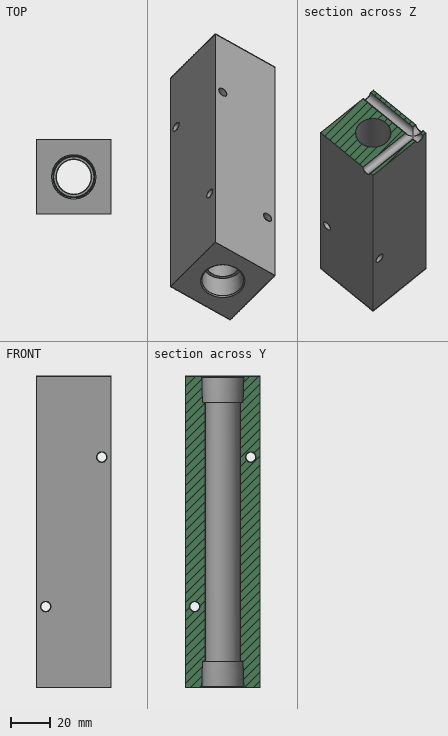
import cadquery as cq

block_side = 38.1
block_height = 158.8

bore_diameter = 17.8
port_diameter = 21.3
port_taper = 1 / 16
port_depth = 13.3
port_chamfer = 0.6

cross_hole_diameter = 5.1
cross_hole_offset = 14.3
cross_hole_spacing = 76.2


def make_block():
    return cq.Workplane("XY").box(block_side, block_side, block_height, centered=(True, True, False))


def make_passage():
    """Revolved cutter for the bore and both end ports."""
    bore_radius = bore_diameter / 2
    port_radius = port_diameter / 2
    mouth_radius = port_radius + port_chamfer
    floor_radius = port_radius - port_taper * (port_depth - port_chamfer) / 2
    lower_half = [
        (mouth_radius, 0),
        (port_radius, port_chamfer),
        (floor_radius, port_depth),
        (bore_radius, port_depth),
    ]
    upper_half = [(radius, block_height - z) for radius, z in reversed(lower_half)]
    profile = [(0, 0)] + lower_half + upper_half + [(0, block_height)]
    return cq.Workplane("XZ").polyline(profile).close().revolve(360, (0, 0), (0, 1))


def make_cross_holes(plane):
    """Through holes normal to a vertical plane, mirrored about the block centre."""
    half_spacing = cross_hole_spacing / 2
    positions = [(cross_hole_offset, half_spacing), (-cross_hole_offset, -half_spacing)]
    return (
        cq.Workplane(plane, origin=(0, 0, block_height / 2))
        .pushPoints(positions)
        .circle(cross_hole_diameter / 2)
        .extrude(block_side / 2, both=True)
    )


result = make_block().cut(make_passage())
for hole_plane in ("XZ", "YZ"):
    result = result.cut(make_cross_holes(hole_plane))